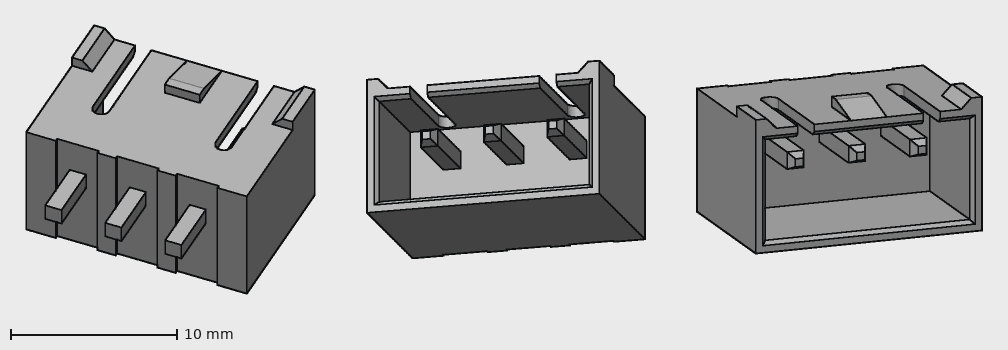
import cadquery as cq


body_width = 14.54
body_depth = 10.0
body_height = 7.7
wall = 0.7
cavity_depth = 7.0
lead_in = 0.25

key_height = 0.65
key_length = 3.27
rail_base_width = 1.34
rail_top_width = rail_base_width - key_height
latch_width = 2.3
latch_flat = 0.65

slot_width = 1.07
slot_length = 6.7
slot_offset = 4.04

pin_count = 3
pin_pitch = 3.95
pin_size = 1.07
pin_height = 5.0
tail_length = 3.4
pin_tip_setback = 1.4
pin_taper_length = 0.65
pin_tip_size = 0.5

groove_width = 2.74
groove_depth = 0.2

pin_positions = [(i - (pin_count - 1) / 2) * pin_pitch for i in range(pin_count)]


def block(width, depth, height, x, y, z):
    """Box centred on x, starting at y and z."""
    return cq.Workplane("XY").box(width, depth, height, centered=(True, False, False)).translate((x, y, z))


def make_cavity():
    """Mating cavity with a chamfered lead-in around its mouth."""
    cavity_width = body_width - 2 * wall
    cavity_height = body_height - 2 * wall
    pocket = block(cavity_width, cavity_depth, cavity_height, 0, body_depth - cavity_depth, wall)
    mouth = (
        cq.Workplane("XZ", origin=(0, body_depth, body_height / 2))
        .rect(cavity_width + 2 * lead_in, cavity_height + 2 * lead_in)
        .workplane(offset=lead_in)
        .rect(cavity_width, cavity_height)
        .loft(ruled=True)
    )
    return pocket.union(mouth)


def make_slot(x):
    """Round-ended slot through the top wall, open at the mating edge."""
    radius = slot_width / 2
    end_center = body_depth - slot_length + radius
    straight = block(slot_width, body_depth - end_center, wall, x, end_center, body_height - wall)
    round_end = cq.Workplane("XY", origin=(x, end_center, body_height - wall)).circle(radius).extrude(wall)
    return straight.union(round_end)


def make_rail(side):
    """Guide rail along a side edge (side = -1 or 1), sloped on its inner flank."""
    outer = side * body_width / 2
    top = body_height + key_height
    return (
        cq.Workplane("XZ", origin=(0, body_depth, 0))
        .moveTo(outer, body_height)
        .lineTo(outer, top)
        .lineTo(outer - side * rail_top_width, top)
        .lineTo(outer - side * rail_base_width, body_height)
        .close()
        .extrude(key_length)
    )


def make_latch():
    """Central latch wedge rising from the mating edge to a short flat."""
    rear = body_depth - key_length
    top = body_height + key_height
    return (
        cq.Workplane("YZ")
        .moveTo(body_depth, body_height)
        .lineTo(rear + latch_flat, top)
        .lineTo(rear, top)
        .lineTo(rear, body_height)
        .close()
        .extrude(latch_width / 2, both=True)
    )


def make_pin(x):
    """Square pin from the solder tail to a tapered tip inside the cavity."""
    tip_y = body_depth - pin_tip_setback
    taper_start = tip_y - pin_taper_length
    shank = block(pin_size, taper_start + tail_length, pin_size, x, -tail_length, pin_height - pin_size / 2)
    tip = (
        cq.Workplane("XZ", origin=(x, tip_y, pin_height))
        .rect(pin_tip_size, pin_tip_size)
        .workplane(offset=pin_taper_length)
        .rect(pin_size, pin_size)
        .loft(ruled=True)
    )
    return shank.union(tip)


result = block(body_width, body_depth, body_height, 0, 0, 0).cut(make_cavity())

for side in (-1, 1):
    result = result.cut(make_slot(side * slot_offset))
    result = result.union(make_rail(side))

result = result.union(make_latch())

for pin_x in pin_positions:
    result = result.cut(block(groove_width, groove_depth, body_height, pin_x, 0, 0))
    result = result.union(make_pin(pin_x))